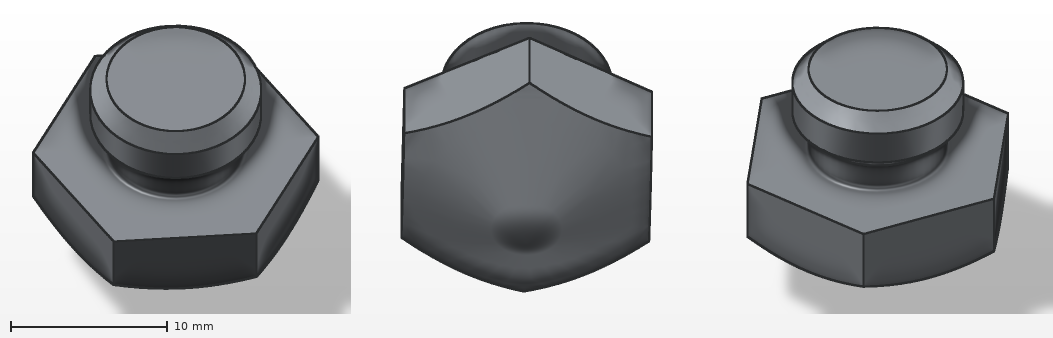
import cadquery as cq
import math

across_corners = 18.33
total_height = 15.87
shoulder_z = 9.51

cone_slope = math.tan(math.radians(30))

neck_radius = 4.44
neck_fillet = 0.38
knob_radius = 5.48
knob_chamfer = knob_radius - neck_radius
knob_height = 4.4
knob_bottom_z = total_height - knob_height


def make_body():
    """Hexagonal prism cut to a point by a cone."""
    prism = (
        cq.Workplane("XY")
        .polygon(6, across_corners)
        .extrude(shoulder_z)
        .rotate((0, 0, 0), (0, 0, 1), 90)
    )
    cone_radius = across_corners
    cone_rim_z = cone_radius * cone_slope
    cone = (
        cq.Workplane("XZ")
        .moveTo(0, 0)
        .lineTo(cone_radius, cone_rim_z)
        .lineTo(0, cone_rim_z)
        .close()
        .revolve(360, (0, 0, 0), (0, 1, 0))
    )
    return prism.intersect(cone)


def make_knob():
    """Neck with a concave base fillet, and a knob chamfered at both ends."""
    arc_offset = neck_fillet * (1 - math.sqrt(0.5))
    profile = (
        cq.Workplane("XZ")
        .moveTo(0, shoulder_z)
        .lineTo(neck_radius + neck_fillet, shoulder_z)
        .threePointArc(
            (neck_radius + arc_offset, shoulder_z + arc_offset),
            (neck_radius, shoulder_z + neck_fillet),
        )
        .lineTo(neck_radius, knob_bottom_z)
        .lineTo(knob_radius, knob_bottom_z + knob_chamfer)
        .lineTo(knob_radius, total_height - knob_chamfer)
        .lineTo(knob_radius - knob_chamfer, total_height)
        .lineTo(0, total_height)
        .close()
    )
    return profile.revolve(360, (0, 0, 0), (0, 1, 0))


result = make_body().union(make_knob())